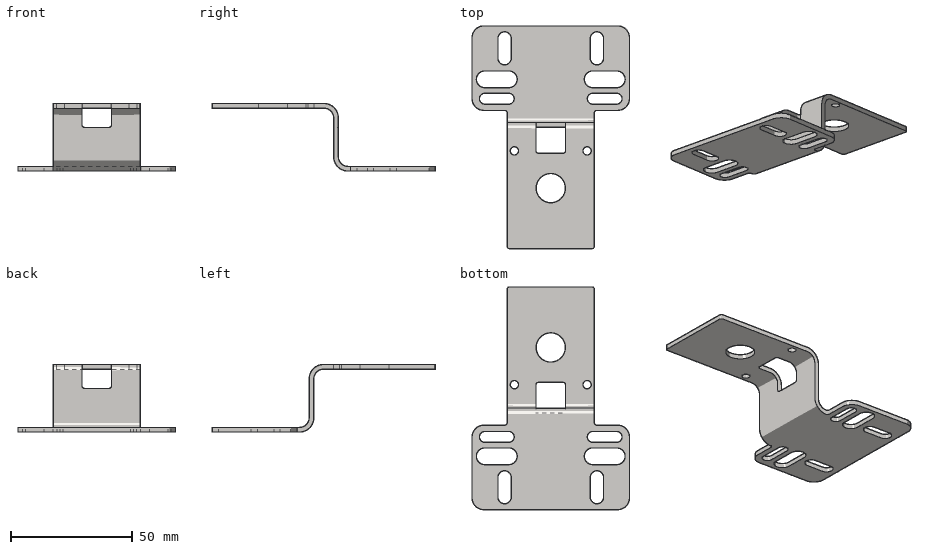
import cadquery as cq

thickness = 2.0
base_width = 65.0
base_depth = 35.0
total_depth = 92.0
total_height = 28.0
strap_width = 36.0

inner_bend = 4.0
outer_bend = inner_bend + thickness
base_corner = 5.0
neck_fillet = 1.0
strap_corner = 1.0

adjusting_slot = (19.0, 9.3, 13.5, 5.4)
wide_slot = (22.3, 22.1, 16.7, 6.8)
narrow_slot = (22.3, 30.1, 14.3, 4.4)

window_width = 12.1
window_bottom = 18.1
window_front = 52.5
window_corner = 1.0

pin_diameter = 3.3
pin_offset = 15.0
pin_distance = 51.6
centre_diameter = 12.0
centre_distance = 67.0

bend_start = base_depth + neck_fillet
wall_rear = bend_start + inner_bend
wall_front = wall_rear + thickness


def make_strap():
    """Z-shaped strip: neck, lower bend, wall, upper bend and upper plate."""
    upper_bend_end = wall_rear + outer_bend
    top_underside = total_height - thickness
    profile = (
        cq.Workplane("YZ")
        .moveTo(-base_depth, 0)
        .lineTo(-bend_start, 0)
        .radiusArc((-wall_front, outer_bend), outer_bend)
        .lineTo(-wall_front, top_underside - inner_bend)
        .radiusArc((-upper_bend_end, top_underside), -inner_bend)
        .lineTo(-total_depth, top_underside)
        .lineTo(-total_depth, total_height)
        .lineTo(-upper_bend_end, total_height)
        .radiusArc((-wall_rear, total_height - outer_bend), outer_bend)
        .lineTo(-wall_rear, outer_bend)
        .radiusArc((-bend_start, thickness), -inner_bend)
        .lineTo(-base_depth, thickness)
        .close()
    )
    strap = profile.extrude(strap_width / 2, both=True)
    return strap.faces("<Y").edges("|Z").fillet(strap_corner)


def make_base():
    """Rounded flat plate at the rear."""
    plate = cq.Workplane("XY").box(base_width, base_depth, thickness, centered=(True, False, False))
    return plate.translate((0, -base_depth, 0)).edges("|Z").fillet(base_corner)


def make_neck_fillet(side):
    """Concave fillet between the base and one edge of the strap."""
    edge = side * strap_width / 2
    return (
        cq.Workplane("XY")
        .moveTo(edge, -base_depth)
        .lineTo(edge + side * neck_fillet, -base_depth)
        .radiusArc((edge, -bend_start), -side * neck_fillet)
        .close()
        .extrude(thickness)
    )


def cut_slot_pair(body, slot, angle):
    """Cut a slot on each side of the centre plane."""
    offset, distance, length, width = slot
    cutter = (
        cq.Workplane("XY")
        .pushPoints([(-offset, -distance), (offset, -distance)])
        .slot2D(length, width, angle)
        .extrude(thickness)
    )
    return body.cut(cutter)


def make_window():
    """Block that removes the upper bend, with small rounded corners at both ends."""
    window_depth = window_front - wall_rear
    top_part = (
        cq.Workplane("XY")
        .box(window_width, window_depth, total_height - window_bottom, centered=(True, False, False))
        .translate((0, -window_front, window_bottom))
    )
    return top_part.edges("|Z and <Y").fillet(window_corner).edges("|Y and <Z").fillet(window_corner)


def make_holes():
    """Cutters for the two pin holes and the large centre hole."""
    plane = cq.Workplane("XY").workplane(offset=total_height - thickness)
    pins = (
        plane.pushPoints([(-pin_offset, -pin_distance), (pin_offset, -pin_distance)])
        .circle(pin_diameter / 2)
        .extrude(thickness)
    )
    centre = plane.center(0, -centre_distance).circle(centre_diameter / 2).extrude(thickness)
    return pins.union(centre)


result = make_base().union(make_strap())
for side in (-1, 1):
    result = result.union(make_neck_fillet(side))
result = cut_slot_pair(result, adjusting_slot, 90)
result = cut_slot_pair(result, wide_slot, 0)
result = cut_slot_pair(result, narrow_slot, 0)
result = result.cut(make_window()).cut(make_holes())